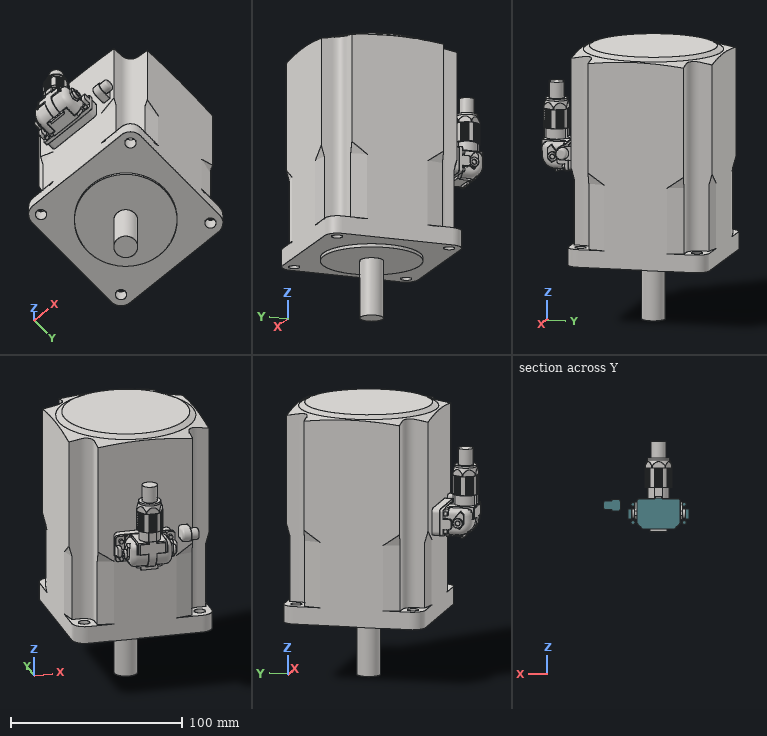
import cadquery as cq
import math

BODY_SIDE = 85.0
HALF_SIDE = BODY_SIDE / 2
TOTAL_HEIGHT = 162.5
SHAFT_LENGTH = 36.7
SHAFT_DIAMETER = 14.0
BODY_TOP = TOTAL_HEIGHT - SHAFT_LENGTH
PILOT_DIAMETER = 60.0
PILOT_HEIGHT = 2.0

FLANGE_THICKNESS = 10.5
FLANGE_CORNER_RADIUS = 7.8
HOLE_SPACING = 70.0
HOLE_DIAMETER = 6.5

CHANNEL_SIDE = 13.8
CHANNEL_RADIUS = 6.5

RELIEF_LENGTH = 23.5
RELIEF_DEPTH = 4.7
RELIEF_SHOULDER = 49.5
RELIEF_RISE = 16.4

CAP_RADIUS = 37.4
RING_RADIUS = 41.0
RING_DROP = 2.1
CONE_SLOPE = 0.22

OVERALL_DEPTH = 109.0
CONNECTOR_X = -2.0
GRIP_RADIUS = 7.8
FACE_Y = -HALF_SIDE
CABLE_Y = HALF_SIDE - OVERALL_DEPTH + GRIP_RADIUS

BASE_WIDTH = 34.3
BASE_BOTTOM = 51.7
BASE_TOP = 67.8
BASE_RADIUS = 2.6
PLATE_WIDTH = 35.8
PLATE_BOTTOM = 51.8
PLATE_TOP = 67.5
PLATE_RADIUS = 1.3
PLATE_BACK_Y = -47.3
PLATE_FRONT_Y = -49.4
GASKET_WIDTH = 25.4
GASKET_BOTTOM = 50.2
GASKET_TOP = 68.1
GASKET_TOP_CHAMFER = 1.0
GASKET_BOTTOM_CHAMFER = 3.2
GASKET_FRONT_Y = -51.4

ELBOW_WIDTH = 25.4
ELBOW_TOP = 67.5
ELBOW_BOTTOM = 51.4
ELBOW_FRONT_Y = -65.2
BEND_CENTRE_Z = 59.3
BEND_RADIUS = BEND_CENTRE_Z - ELBOW_BOTTOM
ELBOW_EDGE_RADIUS = 3.7
ELBOW_CORNER_RADIUS = 3.9
GROOVE_DEPTH = 1.0
GROOVE_WIDTH = 0.6

PANEL_WIDTH = 15.3
PANEL_BOTTOM = 61.0
PANEL_TOP = 67.3
PANEL_STEM_TOP = 68.5
PANEL_RAISE = 0.8
SHOULDER_WIDTH = 17.2
SHOULDER_RAISE = 0.3
SHOULDER_TOP = GASKET_TOP
STRIP_WIDTH = 4.9

LATCH_WIDTH = 15.3
LATCH_TOP = 55.4
LATCH_BOTTOM = 50.2
LATCH_FRONT_Y = -58.3
TAB_WIDTH = 10.0
TAB_BOTTOM = 48.6
TAB_THICKNESS = 1.3

ARM_THICKNESS = 2.3
ARM_BOTTOM = 55.9
ARM_TOP = 62.0
ARM_RADIUS = 1.3
ARM_FRONT_Y = -54.1
PIN_Y = -57.5
PIN_Z = 59.5
PIN_BOSS_DIAMETER = 5.5
PIN_BORE_DIAMETER = 3.0
PIN_BORE_DEPTH = 1.0
PIN_SPAN = 31.5
PAD_SPAN = 28.0
PAD_OUTLINE = [(-58.7, 66.1), (-60.8, 64.4), (-60.8, 59.0), (-58.3, 55.7), (-54.5, 58.2), (-54.5, 61.0)]
SCREW_DIAMETER = 2.5
SCREW_SPACING_X = 29.9
SCREW_LOW_Z = 54.1
SCREW_HIGH_Z = 64.7

NECK_RADIUS = 6.3
KEY_WIDTH = 4.5
KEY_REACH = 7.0
KEY_RAMP_HEIGHT = 1.1
GRIP_BOTTOM = 74.5
GRIP_TOP = 85.8
NUT_TOP = 90.7
COLLAR_TOP = 91.8
CABLE_TOP = 101.5
CABLE_DIAMETER = 9.0
COLLAR_DIAMETER = 13.0
NUT_FLATS = 13.8
NUT_CHAMFER_DIAMETER = 15.6
NUT_CONE_HEIGHT = 3.2
SIDES = 6
KNURL_LINES = 6
KNURL_PITCH = 6.5
KNURL_WIDTH = 0.5
KNURL_DEPTH = 0.5

OUTLET_LEFT_X = 20.2
OUTLET_STEP_X = 25.5
OUTLET_RIGHT_X = 30.4
OUTLET_Y = -48.1
OUTLET_Z = 64.2
OUTLET_DIAMETER = 8.3
SPIGOT_DIAMETER = 7.0
OUTLET_RADIUS = 1.5
SPIGOT_RADIUS = 1.3


def block(width, y_back, y_front, z_bottom, z_top):
    """Box centred on X = 0 between two Y and two Z positions."""
    return cq.Workplane("XY").box(width, y_back - y_front, z_top - z_bottom).translate(
        (0, (y_back + y_front) / 2, (z_bottom + z_top) / 2)
    )


def upright(radius, z_bottom, z_top):
    """Cylinder on the cable axis between two heights."""
    return (
        cq.Workplane("XY", origin=(0, CABLE_Y, z_bottom))
        .circle(radius)
        .extrude(z_top - z_bottom)
    )


def corner_relief():
    """Wedge cut into the -Y face beside the (-X, -Y) corner, closed above by a sloping facet."""
    outer_x = -HALF_SIDE
    inner_x = outer_x + RELIEF_LENGTH
    deep_y = FACE_Y + RELIEF_DEPTH
    levels = (FLANGE_THICKNESS, RELIEF_SHOULDER)
    corner, deep, inner = [
        [cq.Vector(x, y, z) for z in levels]
        for x, y in ((outer_x, FACE_Y), (outer_x, deep_y), (inner_x, FACE_Y))
    ]
    apex = cq.Vector(outer_x, FACE_Y, RELIEF_SHOULDER + RELIEF_RISE)
    outlines = [
        [corner[0], deep[0], inner[0]],
        [deep[0], inner[0], inner[1], deep[1]],
        [corner[0], inner[0], inner[1], apex],
        [corner[0], deep[0], deep[1], apex],
        [deep[1], inner[1], apex],
    ]
    faces = [cq.Face.makeFromWires(cq.Wire.makePolygon(points, close=True)) for points in outlines]
    return cq.Workplane(cq.Solid.makeSolid(cq.Shell.makeShell(faces)))


def motor_body():
    """Square housing with cap, corner channels and reliefs, flange, pilot and shaft."""
    corner_reach = HALF_SIDE * math.sqrt(2)
    cone_drop = RING_DROP + CONE_SLOPE * (corner_reach - RING_RADIUS)
    cap_envelope = (
        cq.Workplane("XZ")
        .moveTo(0, 0)
        .lineTo(corner_reach, 0)
        .lineTo(corner_reach, BODY_TOP - cone_drop)
        .lineTo(RING_RADIUS, BODY_TOP - RING_DROP)
        .lineTo(CAP_RADIUS, BODY_TOP)
        .lineTo(0, BODY_TOP)
        .close()
        .revolve(360, (0, 0, 0), (0, 1, 0))
    )
    body = (
        cq.Workplane("XY", origin=(0, 0, FLANGE_THICKNESS))
        .rect(BODY_SIDE, BODY_SIDE)
        .extrude(BODY_TOP - FLANGE_THICKNESS)
        .intersect(cap_envelope)
    )

    channels = (
        cq.Workplane("XY", origin=(0, 0, FLANGE_THICKNESS))
        .rect(BODY_SIDE, BODY_SIDE, forConstruction=True)
        .vertices()
        .rect(2 * CHANNEL_SIDE, 2 * CHANNEL_SIDE)
        .extrude(BODY_TOP)
        .edges("|Z")
        .fillet(CHANNEL_RADIUS)
    )
    body = body.cut(channels)

    relief = corner_relief()
    for side_angle in range(0, 360, 90):
        for cutter in (relief, relief.mirror("YZ")):
            body = body.cut(cutter.rotate((0, 0, 0), (0, 0, 1), side_angle))

    flange = (
        cq.Workplane("XY")
        .rect(BODY_SIDE, BODY_SIDE)
        .extrude(FLANGE_THICKNESS)
        .edges("|Z")
        .fillet(FLANGE_CORNER_RADIUS)
    )
    holes = (
        cq.Workplane("XY")
        .rect(HOLE_SPACING, HOLE_SPACING, forConstruction=True)
        .vertices()
        .circle(HOLE_DIAMETER / 2)
        .extrude(FLANGE_THICKNESS)
    )
    pilot = cq.Workplane("XY").circle(PILOT_DIAMETER / 2).extrude(-PILOT_HEIGHT)
    shaft = cq.Workplane("XY").circle(SHAFT_DIAMETER / 2).extrude(-SHAFT_LENGTH)
    return body.union(flange).cut(holes).union(pilot).union(shaft)


def connector_mount():
    """Receptacle base on the motor with plate, gasket, screws and locking arms."""
    base = block(BASE_WIDTH, FACE_Y, PLATE_BACK_Y, BASE_BOTTOM, BASE_TOP).edges("|Y").fillet(BASE_RADIUS)
    plate = block(PLATE_WIDTH, PLATE_BACK_Y, PLATE_FRONT_Y, PLATE_BOTTOM, PLATE_TOP)
    plate = plate.edges("|Y").fillet(PLATE_RADIUS)
    gasket = block(GASKET_WIDTH, PLATE_FRONT_Y, GASKET_FRONT_Y, GASKET_BOTTOM, GASKET_TOP)
    gasket = gasket.faces(">Z").edges("|Y").chamfer(GASKET_TOP_CHAMFER)
    gasket = gasket.faces("<Z").edges("|Y").chamfer(GASKET_BOTTOM_CHAMFER)
    mount = base.union(plate).union(gasket)

    screw_height = PLATE_FRONT_Y - GASKET_FRONT_Y
    for side in (-1, 1):
        arm = block(ARM_THICKNESS, PLATE_FRONT_Y, ARM_FRONT_Y, ARM_BOTTOM, ARM_TOP)
        arm = arm.edges("|X and <Y").fillet(ARM_RADIUS)
        mount = mount.union(arm.translate((side * (PLATE_WIDTH - ARM_THICKNESS) / 2, 0, 0)))
        for z in (SCREW_LOW_Z, SCREW_HIGH_Z):
            screw = (
                cq.Workplane("XZ", origin=(side * SCREW_SPACING_X / 2, PLATE_FRONT_Y, z))
                .circle(SCREW_DIAMETER / 2)
                .extrude(screw_height)
            )
            mount = mount.union(screw)
    return mount


def elbow_shape(width, raise_by):
    """Elbow outline swept across X, with its front and bend offset outward by raise_by."""
    front_y = ELBOW_FRONT_Y - raise_by
    radius = BEND_RADIUS + raise_by
    bend_y = front_y + radius
    diagonal = radius * math.sqrt(0.5)
    corner_inset = ELBOW_CORNER_RADIUS * (1 - math.sqrt(0.5))
    return (
        cq.Workplane("YZ")
        .moveTo(PLATE_FRONT_Y, ELBOW_TOP)
        .lineTo(front_y + ELBOW_CORNER_RADIUS, ELBOW_TOP)
        .threePointArc(
            (front_y + corner_inset, ELBOW_TOP - corner_inset),
            (front_y, ELBOW_TOP - ELBOW_CORNER_RADIUS),
        )
        .lineTo(front_y, BEND_CENTRE_Z)
        .threePointArc(
            (bend_y - diagonal, BEND_CENTRE_Z - diagonal),
            (bend_y, BEND_CENTRE_Z - radius),
        )
        .lineTo(PLATE_FRONT_Y, BEND_CENTRE_Z - radius)
        .close()
        .extrude(width / 2, both=True)
    )


def connector_elbow():
    """Right-angle housing with front panel, bend strip, underside latch and side pins."""
    elbow = elbow_shape(ELBOW_WIDTH, 0)
    elbow = elbow.faces("<X or >X").edges("not >Y").fillet(ELBOW_EDGE_RADIUS)

    groove_x = (SHOULDER_WIDTH + GROOVE_WIDTH) / 2
    for side in (-1, 1):
        front_groove = block(
            GROOVE_WIDTH, ELBOW_FRONT_Y + GROOVE_DEPTH, ELBOW_FRONT_Y, PANEL_BOTTOM, ELBOW_TOP
        )
        top_groove = block(GROOVE_WIDTH, GASKET_FRONT_Y, ELBOW_FRONT_Y, ELBOW_TOP - GROOVE_DEPTH, ELBOW_TOP)
        elbow = elbow.cut(front_groove.union(top_groove).translate((side * groove_x, 0, 0)))

    panel_y = ELBOW_FRONT_Y - PANEL_RAISE
    shoulder_y = ELBOW_FRONT_Y - SHOULDER_RAISE
    elbow = elbow.union(block(SHOULDER_WIDTH, PLATE_FRONT_Y, shoulder_y, PANEL_BOTTOM, SHOULDER_TOP))
    elbow = elbow.union(block(PANEL_WIDTH, CABLE_Y, panel_y, PANEL_BOTTOM, PANEL_TOP))
    elbow = elbow.union(block(KEY_WIDTH, CABLE_Y, panel_y, PANEL_BOTTOM, PANEL_STEM_TOP))
    elbow = elbow.union(elbow_shape(STRIP_WIDTH, PANEL_RAISE))

    elbow = elbow.union(block(LATCH_WIDTH, PLATE_FRONT_Y, LATCH_FRONT_Y, LATCH_BOTTOM, LATCH_TOP))
    tab_back_y = LATCH_FRONT_Y + TAB_THICKNESS
    elbow = elbow.union(block(TAB_WIDTH, tab_back_y, LATCH_FRONT_Y, TAB_BOTTOM, LATCH_TOP))

    elbow = elbow.union(cq.Workplane("YZ").polyline(PAD_OUTLINE).close().extrude(PAD_SPAN / 2, both=True))
    pin = cq.Workplane("YZ", origin=(0, PIN_Y, PIN_Z))
    elbow = elbow.union(pin.circle(PIN_BOSS_DIAMETER / 2).extrude(PIN_SPAN / 2, both=True))
    bores = pin.circle(PIN_BORE_DIAMETER / 2).extrude(PIN_SPAN / 2, both=True)
    bore_core = pin.circle(PIN_BORE_DIAMETER / 2).extrude(PIN_SPAN / 2 - PIN_BORE_DEPTH, both=True)
    return elbow.cut(bores.cut(bore_core))


def grip_sleeve():
    """Grip sleeve with six bands of fine vertical grooves between smooth strips."""
    sleeve = upright(GRIP_RADIUS, GRIP_BOTTOM, GRIP_TOP)
    first_line = -(KNURL_LINES - 1) / 2 * KNURL_PITCH
    for band in range(SIDES):
        band_angle = 90 + band * 360 / SIDES
        for line in range(KNURL_LINES):
            angle = band_angle + first_line + line * KNURL_PITCH
            groove = (
                cq.Workplane("XY", origin=(GRIP_RADIUS, 0, GRIP_BOTTOM))
                .rect(2 * KNURL_DEPTH, KNURL_WIDTH)
                .extrude(GRIP_TOP - GRIP_BOTTOM)
                .rotate((0, 0, 0), (0, 0, 1), angle)
                .translate((0, CABLE_Y, 0))
            )
            sleeve = sleeve.cut(groove)
    return sleeve


def cable_gland():
    """Keyed neck, grip sleeve, chamfered hexagon nut, collar and cable stub."""
    gland = upright(NECK_RADIUS, BEND_CENTRE_Z, GRIP_BOTTOM)
    key_back_y = CABLE_Y + KEY_REACH
    gland = gland.union(block(KEY_WIDTH, key_back_y, CABLE_Y - KEY_REACH, BEND_CENTRE_Z, GRIP_BOTTOM))

    key_ramp = (
        cq.Workplane("YZ")
        .moveTo(key_back_y, SHOULDER_TOP)
        .lineTo(PLATE_FRONT_Y, SHOULDER_TOP)
        .lineTo(key_back_y, SHOULDER_TOP + KEY_RAMP_HEIGHT)
        .close()
        .extrude(KEY_WIDTH / 2, both=True)
    )
    gland = gland.union(key_ramp)

    nut_height = NUT_TOP - GRIP_TOP
    nut = (
        cq.Workplane("XY", origin=(0, CABLE_Y, GRIP_TOP))
        .polygon(SIDES, NUT_FLATS, circumscribed=True)
        .extrude(nut_height)
        .rotate((0, CABLE_Y, 0), (0, CABLE_Y, 1), 180 / SIDES)
    )
    nut_envelope = (
        cq.Workplane("XZ", origin=(0, CABLE_Y, 0))
        .moveTo(0, GRIP_TOP)
        .lineTo(NUT_CHAMFER_DIAMETER / 2, GRIP_TOP)
        .lineTo(NUT_CHAMFER_DIAMETER / 2, NUT_TOP - NUT_CONE_HEIGHT)
        .lineTo(COLLAR_DIAMETER / 2, NUT_TOP)
        .lineTo(0, NUT_TOP)
        .close()
        .revolve(360, (0, 0, 0), (0, 1, 0))
    )
    gland = gland.union(grip_sleeve()).union(nut.intersect(nut_envelope))
    gland = gland.union(upright(COLLAR_DIAMETER / 2, NUT_TOP, COLLAR_TOP))
    return gland.union(upright(CABLE_DIAMETER / 2, COLLAR_TOP, CABLE_TOP))


def side_outlet():
    """Small outlet: rounded boss on the motor face with a round spigot pointing along +X."""
    axis = cq.Workplane("YZ", origin=(OUTLET_LEFT_X, OUTLET_Y, OUTLET_Z))
    boss_length = OUTLET_STEP_X - OUTLET_LEFT_X
    boss = axis.circle(OUTLET_DIAMETER / 2).extrude(boss_length).faces("<X").fillet(OUTLET_RADIUS)
    foot = (
        cq.Workplane("XZ", origin=((OUTLET_LEFT_X + OUTLET_STEP_X) / 2, FACE_Y, OUTLET_Z))
        .rect(boss_length, OUTLET_DIAMETER)
        .extrude(FACE_Y - OUTLET_Y)
        .edges("|Y and <X")
        .fillet(OUTLET_RADIUS)
    )
    spigot = (
        axis.workplane(offset=boss_length)
        .circle(SPIGOT_DIAMETER / 2)
        .extrude(OUTLET_RIGHT_X - OUTLET_STEP_X)
        .faces(">X")
        .fillet(SPIGOT_RADIUS)
    )
    return boss.union(foot).union(spigot)


connector = connector_mount().union(connector_elbow()).union(cable_gland())
result = motor_body().union(connector.translate((CONNECTOR_X, 0, 0))).union(side_outlet())